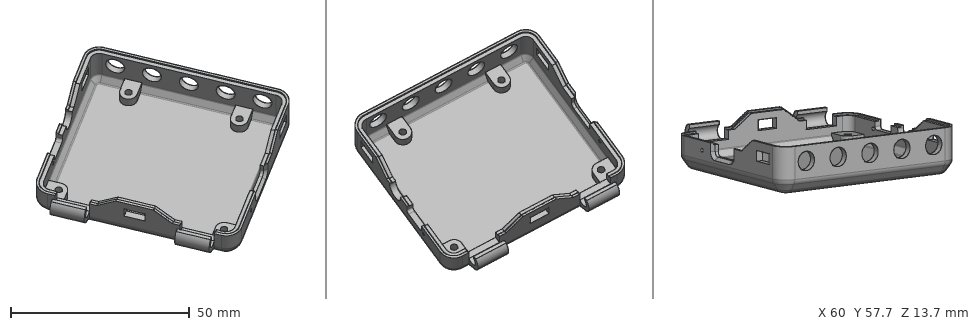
import cadquery as cq
import math

length = 59.95
width = 52.8
height = 13.7
low_rim = 9.8
corner_radius = 4.5
wall = 2.0

slope_height = 3.5
slope_width = 2.45
slope_round = 2.4

lip_wall = 0.8
lip_step = 0.5

ramp_run = 5.6
side_ramp_y = 12.0
tab_half_top = 5.5

window_z = 9.6
window_length = 6.1
window_height = 3.05
side_window_y = 17.05
vent_z = 9.2
vent_diameter = 5.5
vent_pitch = 10.8
vent_count = 5

round_notch_y = 2.0
round_notch_radius = 2.8
round_notch_bottom = 6.25
left_notch_ends = (-12.05, -4.25)
left_notch_bottom = 6.95
left_notch_round = 0.9
right_notch_ends = (-7.85, 1.8)
right_notch_bottom = 6.0
right_notch_round = 1.3
right_notch_flare = 0.95
pin_hole_diameter = 1.0
pin_hole_y = -13.0
pin_hole_z = 7.1

boss_radius = 2.5
boss_top = 4.8
screw_hole_diameter = 2.05
back_boss_x = 16.25
back_boss_y = 19.9
front_boss_x = 24.2
front_boss_y = -20.0

hook_width = 10.1
hook_centre_x = 18.3
hook_outer_radius = 3.6
hook_inner_radius = 2.15
hook_y = -27.65
hook_z = 8.4
hook_tip_y = -28.9
hook_top = 11.15
hook_middle_angle = 200.0
hook_back_angle = 250.0
hook_root_z = 3.6

margin = 0.6

half_length = length / 2
half_width = width / 2
inner_half_length = half_length - wall
inner_half_width = half_width - wall
boss_centres = [
    (side * x, y)
    for side in (-1, 1)
    for x, y in ((back_boss_x, back_boss_y), (front_boss_x, front_boss_y))
]


def rounded_block(inset, bottom, top):
    """Rectangular block with rounded corners, inset from the body outline."""
    return (
        cq.Workplane("XY", origin=(0, 0, bottom))
        .rect(length - 2 * inset, width - 2 * inset)
        .extrude(top - bottom)
        .edges("|Z")
        .fillet(corner_radius - inset)
    )


def box_between(x_range, y_range, z_range):
    """Box spanning the given ranges along the three axes."""
    spans = [end - start for start, end in (x_range, y_range, z_range)]
    corner = (x_range[0], y_range[0], z_range[0])
    return cq.Workplane("XY").box(*spans, centered=False).translate(corner)


def solid_body():
    """Full body outline with a softened slope round its bottom edge."""
    body = rounded_block(0, 0, height).faces("<Z").chamfer(slope_height, slope_width)
    body = body.faces("<Z").edges().fillet(slope_round)
    shoulder = cq.selectors.BoxSelector(
        (-length, -width, slope_height - margin), (length, width, slope_height + margin)
    )
    return body.edges(shoulder).fillet(slope_round)


def rim_clearance(step):
    """Space above the rim when the rim is lowered by the given step."""
    top = height - step
    low = low_rim - step
    clear = height + margin
    sides = (
        cq.Workplane("YZ")
        .moveTo(half_width, top)
        .lineTo(side_ramp_y, top)
        .lineTo(side_ramp_y - ramp_run, low)
        .lineTo(-inner_half_width, low)
        .lineTo(-inner_half_width, clear)
        .lineTo(half_width, clear)
        .close()
        .extrude(half_length, both=True)
    )
    front = (
        cq.Workplane("XZ", origin=(0, -inner_half_width, 0))
        .moveTo(-half_length, low)
        .lineTo(-tab_half_top - ramp_run, low)
        .lineTo(-tab_half_top, top)
        .lineTo(tab_half_top, top)
        .lineTo(tab_half_top + ramp_run, low)
        .lineTo(half_length, low)
        .lineTo(half_length, clear)
        .lineTo(-half_length, clear)
        .close()
        .extrude(wall)
    )
    return sides.union(front)


def bosses():
    """Screw bosses joined to the nearest walls."""
    posts = (
        cq.Workplane("XY")
        .pushPoints(boss_centres)
        .circle(boss_radius)
        .extrude(boss_top)
    )
    z_range = (0, boss_top)
    for side in (-1, 1):
        back_x = side * back_boss_x
        back_arm = (back_x - boss_radius, back_x + boss_radius)
        posts = posts.union(box_between(back_arm, (back_boss_y, half_width), z_range))

        front_x = side * front_boss_x
        wall_x = side * half_length
        outward = sorted((front_x, wall_x))
        full_side = sorted((front_x - side * boss_radius, wall_x))
        front_wall_y = -half_width
        posts = posts.union(box_between(full_side, (front_wall_y, front_boss_y), z_range))
        posts = posts.union(
            box_between(outward, (front_wall_y, front_boss_y + boss_radius), z_range)
        )
    return posts


def screw_holes():
    """Holes through the bosses and the floor."""
    return (
        cq.Workplane("XY")
        .pushPoints(boss_centres)
        .circle(screw_hole_diameter / 2)
        .extrude(height)
    )


def wall_openings():
    """Windows in the front and side walls, and the row of vents in the back wall."""
    front = (
        cq.Workplane("XZ", origin=(0, -inner_half_width, window_z))
        .rect(window_length, window_height)
        .extrude(wall)
    )
    sides = (
        cq.Workplane("YZ", origin=(0, side_window_y, window_z))
        .rect(window_length, window_height)
        .extrude(half_length, both=True)
    )
    vents = (
        cq.Workplane("XZ", origin=(0, half_width, vent_z))
        .rarray(vent_pitch, 0.6, vent_count, 1)
        .circle(vent_diameter / 2)
        .extrude(wall)
    )
    return front.union(sides).union(vents)


def side_notches():
    """Notches in the side rims and the pin holes beside them."""
    left_wall = (-half_length, -inner_half_length)
    right_wall = (inner_half_length, half_length)

    centre_z = round_notch_bottom + round_notch_radius
    left_round = (
        cq.Workplane("YZ", origin=(-half_length, round_notch_y, centre_z))
        .circle(round_notch_radius)
        .extrude(wall)
    )
    y_range = (round_notch_y - round_notch_radius, round_notch_y + round_notch_radius)
    left_round = left_round.union(box_between(left_wall, y_range, (centre_z, low_rim)))

    left_flat = box_between(left_wall, left_notch_ends, (left_notch_bottom, height))
    left_flat = left_flat.edges("|X and <Z").fillet(left_notch_round)

    right = box_between(right_wall, right_notch_ends, (right_notch_bottom, height))
    right = right.edges("|X and <Z").fillet(right_notch_round)
    flare = box_between(
        (half_length - right_notch_flare, half_length + right_notch_flare),
        (right_notch_ends[0] - right_notch_flare, right_notch_ends[1] + right_notch_flare),
        (right_notch_bottom - right_notch_flare, height),
    )
    flare = flare.edges("|X and <Z").fillet(right_notch_round + right_notch_flare)
    flare = flare.faces("<X").edges("not >Z").chamfer(right_notch_flare)

    pins = (
        cq.Workplane("YZ", origin=(0, pin_hole_y, pin_hole_z))
        .circle(pin_hole_diameter / 2)
        .extrude(half_length, both=True)
    )
    return left_round.union(left_flat).union(right).union(flare).union(pins)


def hook_point(radius, angle):
    """Point on a hook arc, as (Y, Z), at an angle in degrees from the +Y direction."""
    angle = math.radians(angle)
    return hook_y + radius * math.cos(angle), hook_z + radius * math.sin(angle)


def arc_rise(radius, offset):
    """Height of a circle of the given radius above its centre, at a sideways offset."""
    return math.sqrt(radius**2 - offset**2)


hook_seat_z = hook_z - arc_rise(hook_inner_radius, half_width + hook_y)


def hook():
    """Hook curling up and back from the front wall, centred on X = 0."""
    wall_y = -half_width
    tip_z = hook_z + arc_rise(hook_inner_radius, hook_tip_y - hook_y)
    top_y = hook_y - arc_rise(hook_outer_radius, hook_top - hook_z)
    profile = (
        cq.Workplane("YZ")
        .moveTo(hook_tip_y, tip_z)
        .threePointArc(hook_point(hook_inner_radius, hook_middle_angle), (wall_y, hook_seat_z))
        .lineTo(-inner_half_width, hook_seat_z)
        .lineTo(-inner_half_width, hook_root_z)
        .lineTo(wall_y, hook_root_z)
        .lineTo(*hook_point(hook_outer_radius, hook_back_angle))
        .threePointArc((hook_y - hook_outer_radius, hook_z), (top_y, hook_top))
        .lineTo(hook_tip_y, hook_top)
        .close()
    )
    return profile.extrude(hook_width / 2, both=True)


def hollow_tray():
    """Tray with an even wall thickness, a stepped rim and screw bosses."""
    outline = solid_body()
    tray = outline.faces(">Z").shell(-wall)
    lip_inner = rounded_block(lip_wall, 0, height)
    tray = tray.cut(rim_clearance(0)).cut(rim_clearance(lip_step).intersect(lip_inner))
    return tray.union(bosses().intersect(outline))


def add_hooks(tray):
    """Lower the front wall behind each hook, then join the hook to it."""
    gap = box_between(
        (-hook_width / 2, hook_width / 2),
        (-half_width, -inner_half_width),
        (hook_seat_z, height),
    )
    for hook_x in (-hook_centre_x, hook_centre_x):
        tray = tray.cut(gap.translate((hook_x, 0, 0)))
        tray = tray.union(hook().translate((hook_x, 0, 0)))
    return tray


result = add_hooks(hollow_tray())
result = result.cut(screw_holes()).cut(wall_openings()).cut(side_notches())